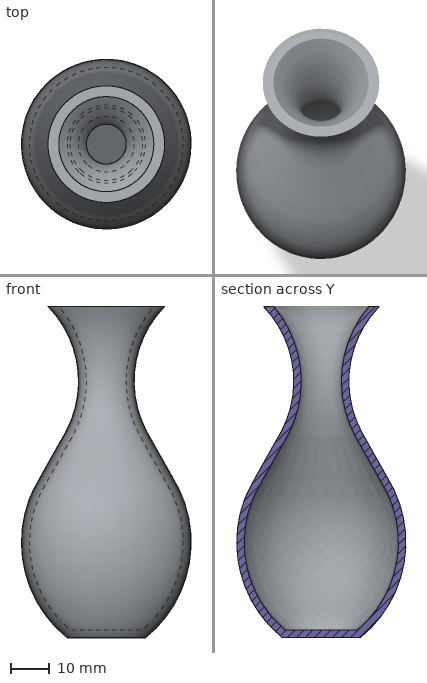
import cadquery as cq
import math

height = 85.0
belly_height = 24.5
shoulder_height = 41.2
neck_base_height = 52.9
throat_height = 65.8

base_radius = 10.0
belly_radius = 21.8
throat_radius = 7.1
rim_radius = 15.0

wall = 2.0


def arc_radius(depth, half_chord):
    """Radius of the arc that moves sideways by depth over a rise of half_chord."""
    return (half_chord**2 + depth**2) / (2 * depth)


belly_arc = arc_radius(belly_radius - base_radius, belly_height)
neck_arc = arc_radius(rim_radius - throat_radius, height - throat_height)
belly_center = belly_radius - belly_arc
neck_center = throat_radius + neck_arc


def vase_body(inset, floor):
    """Revolve the vase profile, moved inward by inset and starting at the floor height."""
    belly = belly_arc - inset
    neck = neck_arc + inset

    def belly_point(z):
        return belly_center + math.sqrt(belly**2 - (z - belly_height) ** 2), z

    def neck_point(z):
        return neck_center - math.sqrt(neck**2 - (z - throat_height) ** 2), z

    shoulder_z = belly_height + (shoulder_height - belly_height) * belly / belly_arc
    neck_base_z = throat_height + (neck_base_height - throat_height) * neck / neck_arc
    profile = (
        cq.Workplane("XZ")
        .moveTo(0, floor)
        .lineTo(*belly_point(floor))
        .threePointArc(belly_point(belly_height), belly_point(shoulder_z))
        .lineTo(*neck_point(neck_base_z))
        .threePointArc(neck_point(throat_height), neck_point(height))
        .lineTo(0, height)
        .close()
    )
    return profile.revolve(360, (0, 0, 0), (0, 1, 0))


result = vase_body(0, 0).cut(vase_body(wall, wall))